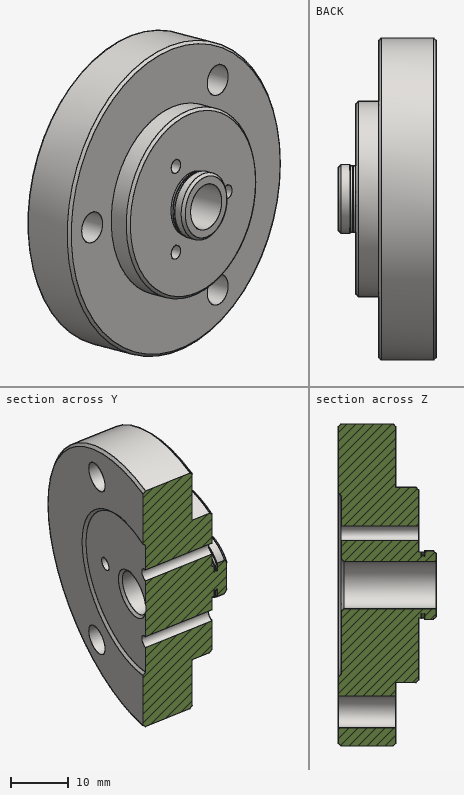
import cadquery as cq
import math

flange_thickness = 10.0
shoulder_end = 14.0
neck_end = 15.0
collar_end = 17.0

flange_diameter = 56.0
shoulder_diameter = 34.0
neck_diameter = 11.6
groove_diameter = 10.0
collar_diameter = 12.0
bore_diameter = 8.2

edge_chamfer = 0.5

groove_count = 2
groove_width = 0.1

recess_floor_diameter = 30.95
recess_depth = 0.5

hole_count = 3
mounting_hole_diameter = 5.5
mounting_circle_radius = 22.0
mounting_start_angle = 180.0
pin_hole_diameter = 2.45
pin_circle_radius = 9.0
pin_start_angle = 0.0


def disc(diameter, start, end):
    """Cylinder about the X axis between two axial stations."""
    return cq.Workplane("YZ").workplane(offset=start).circle(diameter / 2).extrude(end - start)


def cone_cutter(floor_diameter, depth):
    """Cutter at the back face, widening at 45 degrees toward the opening."""
    floor_radius = floor_diameter / 2
    profile = [(0, 0), (0, floor_radius + depth), (depth, floor_radius), (depth, 0)]
    return cq.Workplane("XY").polyline(profile).close().revolve(360, (0, 0, 0), (1, 0, 0))


def hole_ring(diameter, circle_radius, start_angle):
    """Through-hole cutters equally spaced on a circle; angles run from +Y toward +Z."""
    angles = [math.radians(start_angle + i * 360 / hole_count) for i in range(hole_count)]
    centres = [(circle_radius * math.cos(a), circle_radius * math.sin(a)) for a in angles]
    return cq.Workplane("YZ").pushPoints(centres).circle(diameter / 2).extrude(collar_end)


flange = disc(flange_diameter, 0, flange_thickness).edges().chamfer(edge_chamfer)
shoulder = disc(shoulder_diameter, flange_thickness, shoulder_end).faces(">X").chamfer(edge_chamfer)
neck = disc(groove_diameter, shoulder_end, neck_end)
groove_pitch = (neck_end - shoulder_end) / groove_count
for i in range(groove_count):
    ring_start = shoulder_end + i * groove_pitch
    neck = neck.union(disc(neck_diameter, ring_start, ring_start + groove_pitch - groove_width))
collar = disc(collar_diameter, neck_end, collar_end).faces(">X").chamfer(edge_chamfer)
body = flange.union(shoulder).union(neck).union(collar)

body = body.cut(cone_cutter(recess_floor_diameter, recess_depth))
bore_chamfer = cone_cutter(bore_diameter, edge_chamfer).translate((recess_depth, 0, 0))
body = body.cut(disc(bore_diameter, 0, collar_end)).cut(bore_chamfer)

body = body.cut(hole_ring(mounting_hole_diameter, mounting_circle_radius, mounting_start_angle))
result = body.cut(hole_ring(pin_hole_diameter, pin_circle_radius, pin_start_angle))